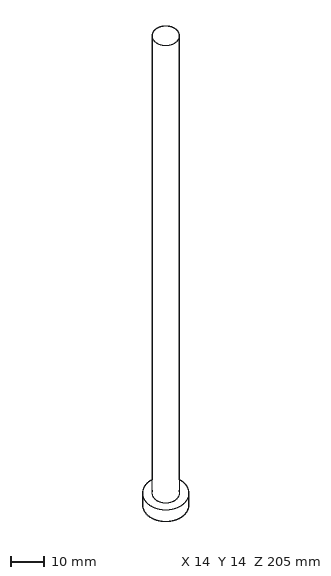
import cadquery as cq

total_length = 205.0
head_diameter = 14.0
head_thickness = 5.1
shaft_diameter = 8.2

head = cq.Workplane("XY").circle(head_diameter / 2).extrude(head_thickness)
shaft = cq.Workplane("XY").circle(shaft_diameter / 2).extrude(total_length)

result = head.union(shaft)